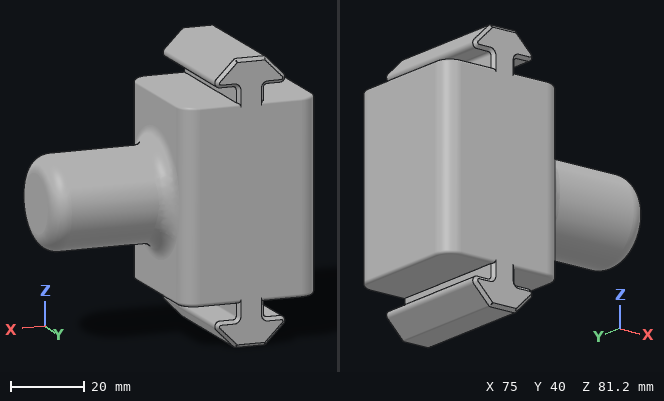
import cadquery as cq

total_length = 75.0
total_height = 81.15

body_width = 40.0
body_height = 56.15
corner_radius = 5.0
edge_size = 1.0

handle_diameter = 27.0
handle_end_radius = 5.0
handle_root_radius = 5.0

rail_neck_height = 4.6
rail_neck_half_width = 4.0
rail_crest_half_width = 4.5
rail_tip_radius = 1.5
rail_bend_radius = 1.0

pick_reach = 0.1

half_width = body_width / 2
half_height = body_height / 2
handle_end_x = total_length - half_width
rail_height = (total_height - body_height) / 2
rail_flank_rise = rail_height - rail_neck_height
rail_tip_half_width = rail_crest_half_width + rail_flank_rise


def box_around(x, y, z, reach_x, reach_y, reach_z):
    """Selector for the edges centred within the given reach of a point."""
    return cq.selectors.BoxSelector(
        (x - reach_x, y - reach_y, z - reach_z),
        (x + reach_x, y + reach_y, z + reach_z),
    )


def make_body():
    """Upright block with rounded vertical corners and softly rounded end edges."""
    block = cq.Workplane("XY").box(body_width, body_width, body_height)
    block = block.edges("|Z").fillet(corner_radius)
    return block.faces(">Z or <Z").edges().fillet(edge_size)


def add_handle(body):
    """Round-ended cylinder along +X, blended into the body across its rounded corners."""
    handle = cq.Workplane("YZ").circle(handle_diameter / 2).extrude(handle_end_x)
    handle = handle.faces(">X").edges().fillet(handle_end_radius)
    root = box_around(half_width, 0, 0, edge_size, handle_diameter, handle_diameter / 2)
    return body.union(handle).edges(root).edges("not |Z").fillet(handle_root_radius)


def round_rail_edges(rail, x, z, radius):
    """Fillet the mirrored pair of lengthwise rail edges at +x and -x."""
    right = box_around(x, 0, z, pick_reach, pick_reach, pick_reach)
    left = box_around(-x, 0, z, pick_reach, pick_reach, pick_reach)
    return rail.edges(right + left).fillet(radius)


def make_rail():
    """Top rail across the full width in Y: neck, overhanging tips, 45 degree flanks, bevelled ends."""
    foot = half_height - edge_size
    neck_top = half_height + rail_neck_height
    crest = half_height + rail_height
    right_side = [
        (rail_neck_half_width, foot),
        (rail_neck_half_width, neck_top),
        (rail_tip_half_width, neck_top),
        (rail_crest_half_width, crest),
    ]
    left_side = [(-x, z) for x, z in reversed(right_side)]
    rail = cq.Workplane("XZ").polyline(right_side + left_side).close().extrude(half_width, both=True)

    rail = round_rail_edges(rail, rail_tip_half_width, neck_top, rail_tip_radius)
    rail = round_rail_edges(rail, rail_neck_half_width, neck_top, rail_bend_radius)
    rail = round_rail_edges(rail, rail_crest_half_width, crest, rail_bend_radius)

    return rail.faces("<Y or >Y").edges("not <Z").chamfer(edge_size)


top_rail = make_rail()
bottom_rail = top_rail.mirror("XY")
result = add_handle(make_body()).union(top_rail).union(bottom_rail)